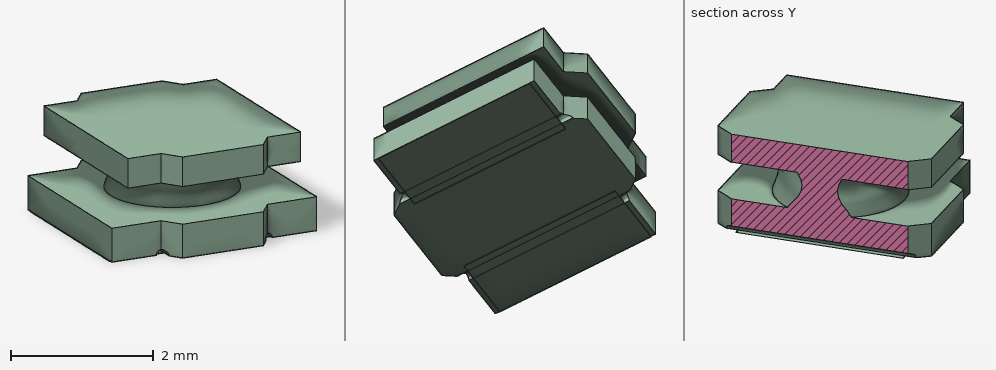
import cadquery as cq

length_x = 3.2
length_y = 3.2
height = 1.5

terminal_thickness = 0.01
terminal_length_x = 2.5
terminal_width_y = 0.95

lower_flange_thickness = 0.5
upper_flange_thickness = 0.435
upper_flange_length_y = 2.7
end_width_x = 2.65
shoulder_half_y = 0.63
neck_half_y = 0.83

waist_lower_radius = 0.96
waist_middle_radius = 0.877
waist_upper_radius = 0.895

groove_radius = 0.075
groove_y = neck_half_y

lower_flange_bottom = terminal_thickness
lower_flange_top = lower_flange_bottom + lower_flange_thickness
upper_flange_bottom = height - upper_flange_thickness


def make_flange(flange_length_y, thickness, bottom_z):
    """Plate whose four corners step inward over a sloped shoulder."""
    half_x = length_x / 2
    half_end_x = end_width_x / 2
    half_y = flange_length_y / 2
    outline = [
        (half_x, -shoulder_half_y),
        (half_x, shoulder_half_y),
        (half_end_x, neck_half_y),
        (half_end_x, half_y),
        (-half_end_x, half_y),
        (-half_end_x, neck_half_y),
        (-half_x, shoulder_half_y),
        (-half_x, -shoulder_half_y),
        (-half_end_x, -neck_half_y),
        (-half_end_x, -half_y),
        (half_end_x, -half_y),
        (half_end_x, -neck_half_y),
    ]
    return cq.Workplane("XY", origin=(0, 0, bottom_z)).polyline(outline).close().extrude(thickness)


def make_waist():
    """Round post with a concave side, revolved about Z."""
    middle_z = (lower_flange_top + upper_flange_bottom) / 2
    return (
        cq.Workplane("XZ")
        .moveTo(0, lower_flange_top)
        .lineTo(waist_lower_radius, lower_flange_top)
        .threePointArc((waist_middle_radius, middle_z), (waist_upper_radius, upper_flange_bottom))
        .lineTo(0, upper_flange_bottom)
        .close()
        .revolve(360, (0, 0, 0), (0, 1, 0))
    )


def make_grooves():
    """Pair of cylinders along X that cut half-round grooves."""
    return (
        cq.Workplane("YZ", origin=(-length_x / 2, 0, lower_flange_bottom))
        .pushPoints([(-groove_y, 0), (groove_y, 0)])
        .circle(groove_radius)
        .extrude(length_x)
    )


def make_core():
    """Drum core: lower flange, waist and upper flange in one piece."""
    lower_flange = make_flange(length_y, lower_flange_thickness, lower_flange_bottom)
    upper_flange = make_flange(upper_flange_length_y, upper_flange_thickness, upper_flange_bottom)
    return lower_flange.cut(make_grooves()).union(make_waist()).union(upper_flange)


def make_terminal(side):
    """Thin flat pad, flush with the flange end on the given Y side (-1 or 1)."""
    center_y = side * (length_y - terminal_width_y) / 2
    return cq.Workplane("XY").center(0, center_y).box(
        terminal_length_x, terminal_width_y, terminal_thickness, centered=(True, True, False)
    )


core = make_core()
terminals = [make_terminal(side) for side in (-1, 1)]

result = cq.Compound.makeCompound([core.val(), *[terminal.val() for terminal in terminals]])